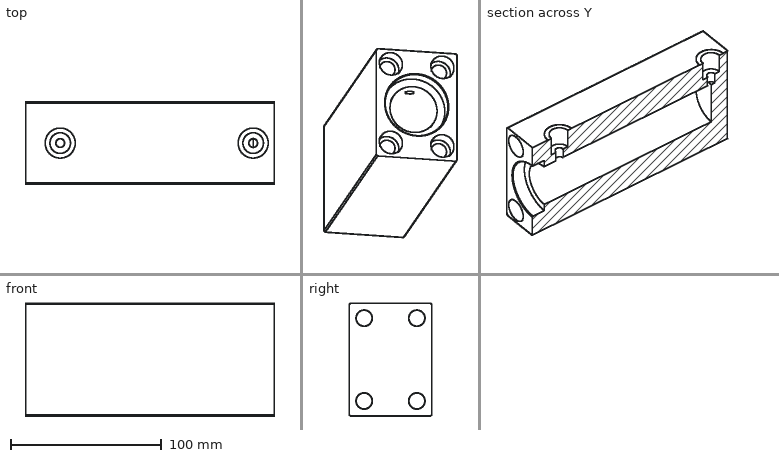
import cadquery as cq
import math

length = 165.0
width = 55.0
height = 75.0
edge_chamfer = 1.0

bore_diameter = 32.0
recess_diameter = 42.5
recess_depth = 10.0
recess_chamfer = 0.5

bolt_spacing_y = 35.0
bolt_spacing_z = 55.0
bolt_hole_diameter = 10.5
bolt_head_diameter = 15.7
bolt_head_depth = 11.5

port_inset = 23.0
port_spacing = 128.0
port_diameter = 13.7
port_depth = 14.0
port_face_diameter = 20.0
port_face_depth = 0.2
passage_diameter = 5.8

port_positions = (port_inset, port_inset + port_spacing)
bore_depth = port_positions[-1]

passage_bottom = math.sqrt(bore_diameter**2 - passage_diameter**2) / 2
passage_depth = height / 2 - passage_bottom


def hole_along_x(y, z, diameter, depth):
    """Cylinder running in +X from the -X face."""
    return cq.Workplane("YZ").center(y, z).circle(diameter / 2).extrude(depth)


def hole_from_top(x, diameter, depth):
    """Cylinder running down from the top face on the centre line."""
    return cq.Workplane("XY", origin=(x, 0, height / 2)).circle(diameter / 2).extrude(-depth)


def make_block():
    """Block starting at X = 0, centred on the X axis, with chamfered long edges."""
    block = cq.Workplane("XY").box(length, width, height, centered=(False, True, True))
    return block.edges("|X").chamfer(edge_chamfer)


def make_main_bore():
    """Blind bore with a wider recess and a chamfered mouth."""
    bore = hole_along_x(0, 0, bore_diameter, bore_depth)
    recess = hole_along_x(0, 0, recess_diameter, recess_depth)
    mouth_radius = recess_diameter / 2 + recess_chamfer
    mouth = cq.Workplane("YZ").circle(mouth_radius).extrude(recess_chamfer, taper=45)
    return bore.union(recess).union(mouth)


def make_bolt_hole(y, z):
    """Through hole with a counterbore in the -X face."""
    shank = hole_along_x(y, z, bolt_hole_diameter, length)
    head = hole_along_x(y, z, bolt_head_diameter, bolt_head_depth)
    return shank.union(head)


def make_port(x):
    """Port with a shallow spot face and a narrow passage into the main bore."""
    spot_face = hole_from_top(x, port_face_diameter, port_face_depth)
    port = hole_from_top(x, port_diameter, port_depth)
    passage = hole_from_top(x, passage_diameter, passage_depth)
    return spot_face.union(port).union(passage)


result = make_block().cut(make_main_bore())

for side_y in (-1, 1):
    for side_z in (-1, 1):
        result = result.cut(make_bolt_hole(side_y * bolt_spacing_y / 2, side_z * bolt_spacing_z / 2))

for port_x in port_positions:
    result = result.cut(make_port(port_x))